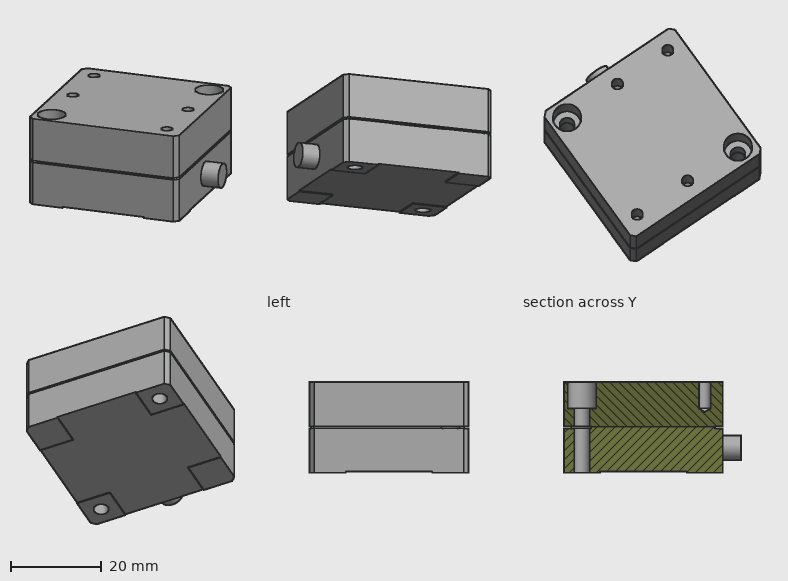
import cadquery as cq
import math

total_length = 39.0
block_side = 35.0
total_height = 20.0
block_height = 9.8
corner_chamfer = 1.0
gap_height = total_height - 2 * block_height
upper_base = block_height + gap_height
half_side = block_side / 2

land_inset_left = 1.6
land_inset_right = 1.7
land_inset_y = 0.9
land_tab_inset = 0.3
land_tab_length = 11.7
slot_width = 4.0

stem_diameter = 5.5
stem_height = 5.5
stem_length = total_length - block_side

channel_width = 19.0
channel_depth = 0.25

hole_offset = 13.5
bolt_diameter = 3.3
counterbore_diameter = 6.25
counterbore_depth = 5.85
blind_diameter = 2.5
blind_depth = 5.85
drill_point_angle = 118.0
bolt_places = [(-hole_offset, -hole_offset), (hole_offset, hole_offset)]
blind_places = [
    (-hole_offset, hole_offset),
    (-hole_offset, 0),
    (hole_offset, 0),
    (hole_offset, -hole_offset),
]


def chamfered_block(base):
    """Square block with chamfered vertical corners."""
    block = cq.Workplane("XY").workplane(offset=base).rect(block_side, block_side).extrude(block_height)
    return block.edges("|Z").chamfer(corner_chamfer)


def spacer_land():
    """Thin raised land with a side tab and a round-ended slot open toward -X."""
    length = block_side - land_inset_left - land_inset_right
    width = block_side - 2 * land_inset_y
    center_x = (land_inset_left - land_inset_right) / 2
    gap_plane = cq.Workplane("XY").workplane(offset=block_height)
    land = gap_plane.center(center_x, 0).rect(length, width).extrude(gap_height)

    tab_width = land_inset_y - land_tab_inset
    tab_y = half_side - land_tab_inset - tab_width / 2
    tab = gap_plane.center(0, tab_y).rect(land_tab_length, tab_width).extrude(gap_height)

    slot_reach = half_side - hole_offset
    slot = (
        gap_plane.center(-hole_offset, -hole_offset)
        .moveTo(-slot_reach, -slot_width / 2)
        .lineTo(0, -slot_width / 2)
        .threePointArc((slot_width / 2, 0), (0, slot_width / 2))
        .lineTo(-slot_reach, slot_width / 2)
        .close()
        .extrude(gap_height)
    )
    return land.union(tab).cut(slot)


def bolt_holes():
    """Through holes for both blocks."""
    return cq.Workplane("XY").pushPoints(bolt_places).circle(bolt_diameter / 2).extrude(total_height)


def counterbores():
    """Recesses for bolt heads in the top face."""
    top = cq.Workplane("XY").workplane(offset=total_height)
    return top.pushPoints(bolt_places).circle(counterbore_diameter / 2).extrude(-counterbore_depth)


def blind_hole(x, y):
    """Drilled hole in the top face with a conical bottom."""
    radius = blind_diameter / 2
    point_depth = radius / math.tan(math.radians(drill_point_angle / 2))
    profile = (
        cq.Workplane("XZ")
        .polyline([(0, 0), (radius, 0), (radius, -blind_depth), (0, -blind_depth - point_depth)])
        .close()
    )
    return profile.revolve(360, (0, 0, 0), (0, 1, 0)).translate((x, y, total_height))


def make_lower_block():
    """Lower block with stem, spacer land and four corner feet."""
    stem = (
        cq.Workplane("YZ").workplane(offset=half_side).center(0, stem_height)
        .circle(stem_diameter / 2).extrude(stem_length)
    )
    block = chamfered_block(0).union(stem).union(spacer_land())
    for length, width in [(block_side, channel_width), (channel_width, block_side)]:
        block = block.cut(cq.Workplane("XY").rect(length, width).extrude(channel_depth))
    return block.cut(bolt_holes())


def make_upper_block():
    """Upper block with bolt counterbores and blind drilled holes."""
    block = chamfered_block(upper_base).cut(bolt_holes()).cut(counterbores())
    for x, y in blind_places:
        block = block.cut(blind_hole(x, y))
    return block


lower_block = make_lower_block()
upper_block = make_upper_block()
result = cq.Compound.makeCompound([lower_block.solids().val(), upper_block.solids().val()])